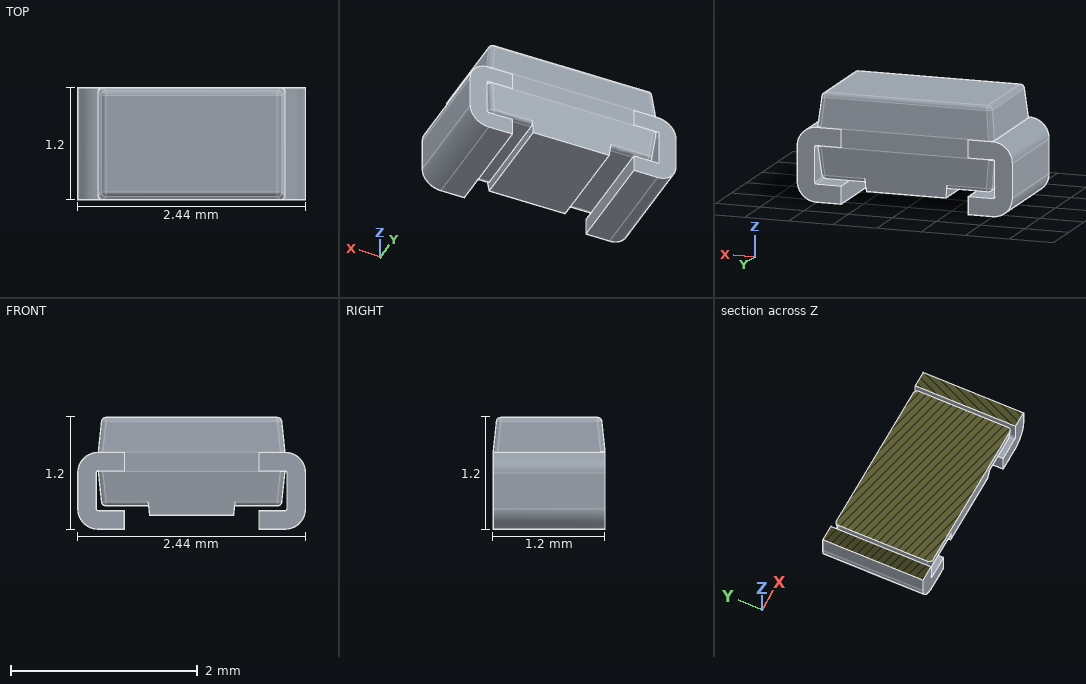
import cadquery as cq
import math

OVERALL_LENGTH = 2.44
WIDTH = 1.2
OVERALL_HEIGHT = 1.2

LEAD_THICKNESS = 0.2
LEAD_TOP_Z = 0.825
FOOT_LENGTH = 0.5
BEND_INNER_RADIUS = 0.02
BEND_OUTER_RADIUS = BEND_INNER_RADIUS + LEAD_THICKNESS
LEAD_OUTER_X = OVERALL_LENGTH / 2
LEAD_INNER_X = LEAD_OUTER_X - LEAD_THICKNESS
LEAD_TIP_X = LEAD_OUTER_X - FOOT_LENGTH
LEAD_BOTTOM_Z = LEAD_TOP_Z - LEAD_THICKNESS

HOUSING_LENGTH = 2.0
HOUSING_BOTTOM_Z = 0.25
BELT_MARGIN = 0.005
BELT_TOP_Z = LEAD_TOP_Z + BELT_MARGIN
BELT_BOTTOM_Z = LEAD_BOTTOM_Z - BELT_MARGIN
DRAFT_ANGLE = 6.0
EDGE_RADIUS = 0.05

PAD_LENGTH = 1.0
PAD_BOTTOM_Z = 0.15


def drafted_block(length, start_z, end_z):
    """Full-width block that narrows by the draft angle from start_z to end_z."""
    height = abs(end_z - start_z)
    inset = height * math.tan(math.radians(DRAFT_ANGLE))
    return (
        cq.Workplane("XY")
        .workplane(offset=start_z)
        .rect(length, WIDTH)
        .workplane(offset=end_z - start_z)
        .rect(length - 2 * inset, WIDTH - 2 * inset)
        .loft(ruled=True)
    )


def make_lead():
    """Lead on the +X side: embedded tab, outer wall and foot joined by two round bends."""
    upper_bend_z = LEAD_TOP_Z - BEND_OUTER_RADIUS
    lower_bend_z = BEND_OUTER_RADIUS
    bend_x = LEAD_OUTER_X - BEND_OUTER_RADIUS
    diagonal = math.sqrt(0.5)
    outer_mid = BEND_OUTER_RADIUS * diagonal
    inner_mid = BEND_INNER_RADIUS * diagonal
    return (
        cq.Workplane("XZ", origin=(0, WIDTH / 2, 0))
        .moveTo(LEAD_TIP_X, LEAD_TOP_Z)
        .lineTo(bend_x, LEAD_TOP_Z)
        .threePointArc((bend_x + outer_mid, upper_bend_z + outer_mid), (LEAD_OUTER_X, upper_bend_z))
        .lineTo(LEAD_OUTER_X, lower_bend_z)
        .threePointArc((bend_x + outer_mid, lower_bend_z - outer_mid), (bend_x, 0))
        .lineTo(LEAD_TIP_X, 0)
        .lineTo(LEAD_TIP_X, LEAD_THICKNESS)
        .lineTo(bend_x, LEAD_THICKNESS)
        .threePointArc((bend_x + inner_mid, lower_bend_z - inner_mid), (LEAD_INNER_X, lower_bend_z))
        .lineTo(LEAD_INNER_X, upper_bend_z)
        .threePointArc((bend_x + inner_mid, upper_bend_z + inner_mid), (bend_x, LEAD_BOTTOM_Z))
        .lineTo(LEAD_TIP_X, LEAD_BOTTOM_Z)
        .close()
        .extrude(WIDTH)
    )


def make_housing(leads):
    """Moulded housing: straight belt, drafted halves, standoff pad and slots for the leads."""
    belt = (
        cq.Workplane("XY", origin=(0, 0, BELT_BOTTOM_Z))
        .rect(HOUSING_LENGTH, WIDTH)
        .extrude(BELT_TOP_Z - BELT_BOTTOM_Z)
    )
    upper_half = drafted_block(HOUSING_LENGTH, BELT_TOP_Z, OVERALL_HEIGHT)
    lower_half = drafted_block(HOUSING_LENGTH, BELT_BOTTOM_Z, HOUSING_BOTTOM_Z)
    shell = belt.union(upper_half).union(lower_half)
    shell = shell.edges("not((#Z) and (not(<Z or >Z)))").fillet(EDGE_RADIUS)

    pad = drafted_block(PAD_LENGTH, BELT_BOTTOM_Z, PAD_BOTTOM_Z)
    housing = shell.union(pad)
    for lead in leads:
        housing = housing.cut(lead)
    return housing


right_lead = make_lead()
leads = [right_lead.rotate((0, 0, 0), (0, 0, 1), angle) for angle in (0, 180)]
housing = make_housing(leads)

result = cq.Compound.makeCompound([housing.val(), *[lead.val() for lead in leads]])